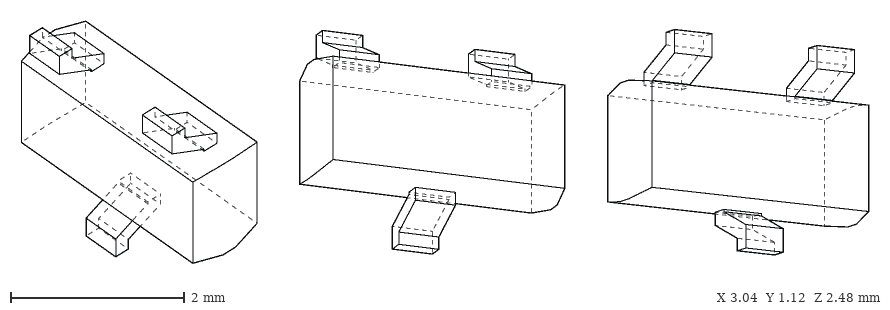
import cadquery as cq
import math

housing_length = 3.04
housing_height = 1.398
housing_depth = 1.02
draft_angle = 10.0

strip_thickness = 0.2
lead_width = 0.502
lead_offset = 0.95
bend_angle = 25.0
lead_tip_z = 1.24
foot_length = 0.277
foot_front_y = -0.608

band_depth = strip_thickness
taper_depth = (housing_depth - band_depth) / 2


def make_housing():
    band_half = band_depth / 2
    housing = (
        cq.Workplane("XZ", origin=(0, band_half, 0))
        .rect(housing_length, housing_height)
        .extrude(band_depth)
    )
    for direction in (1, -1):
        tapered_half = (
            cq.Workplane("XZ", origin=(0, -direction * band_half, 0))
            .rect(housing_length, housing_height)
            .extrude(direction * taper_depth, taper=draft_angle)
        )
        housing = housing.union(tapered_half)
    return housing


def make_upper_lead(center_x):
    """Lead rising from the band, sloping forward and ending in an upright foot."""
    root_z = housing_height / 2
    root_front_y = -strip_thickness / 2
    root_back_y = strip_thickness / 2
    foot_back_y = foot_front_y + strip_thickness

    slope = math.tan(math.radians(bend_angle))
    strip_rise = strip_thickness / math.cos(math.radians(bend_angle))
    slope_run = root_front_y - foot_front_y

    foot_bend_z = lead_tip_z - foot_length
    root_bend_z = foot_bend_z - slope * slope_run
    upper_foot_bend_z = foot_bend_z - slope * strip_thickness + strip_rise
    upper_root_bend_z = upper_foot_bend_z - slope * slope_run

    profile = [
        (root_front_y, root_z),
        (root_front_y, root_bend_z),
        (foot_front_y, foot_bend_z),
        (foot_front_y, lead_tip_z),
        (foot_back_y, lead_tip_z),
        (foot_back_y, upper_foot_bend_z),
        (root_back_y, upper_root_bend_z),
        (root_back_y, root_z),
    ]
    return (
        cq.Workplane("YZ", origin=(center_x - lead_width / 2, 0, 0))
        .polyline(profile)
        .close()
        .extrude(lead_width)
    )


housing = make_housing()

leads = [make_upper_lead(side * lead_offset) for side in (-1, 1)]
leads.append(make_upper_lead(0).mirror("XY"))

result = cq.Compound.makeCompound([housing.val(), *[lead.val() for lead in leads]])